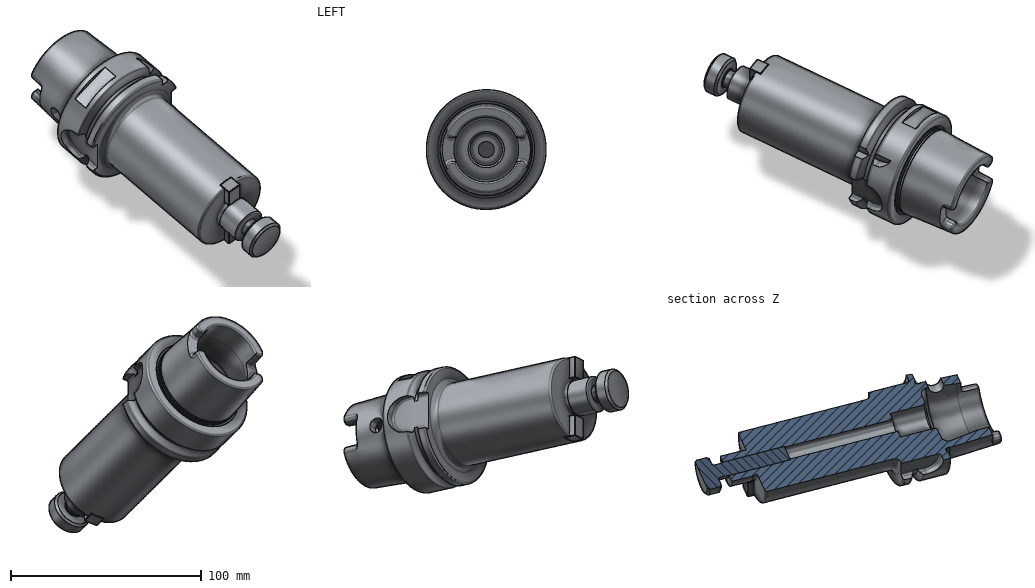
import cadquery as cq
import math


shank_length = 32.0
gauge_offset = 6.3
gauge_radius = 24.0
taper_slope = 1 / 20
shank_end_round = 1.0
relief_start = -1.8
relief_end = -0.5
relief_depth = 0.4

bore_radius = 34.0 / 2
bore_length = 12.3
chamber_radius = 39.0 / 2
clamp_length = 16.0
chamber_floor = 0.0
chamber_floor_round = 3.8
coolant_entry_radius = 19.0 / 2
coolant_radius = 17.0 / 2
coolant_depth = 20.0

drive_slot_width = 12.5
drive_slot_flare = 2.8
drive_slot_corner = 1.5
front_slot_bottom = -22.1
back_slot_bottom = -26.1

access_hole_diameter = 8.0
access_hole_x = -9.0

flange_radius = 63.0 / 2
flange_width = 26.0
flange_round = 1.0
face_recess_radius = 25.5
face_recess_depth = 0.5
groove_center = 18.0
groove_floor_radius = 55.0 / 2
groove_floor_width = 2.0
groove_wall_angle = 30.0
groove_edge_round = 0.5

keyway_floor = 26.5
keyway_center_x = 13.3
keyway_floor_round = 1.0
front_keyway_width = 20.0
back_keyway_width = 18.0

notch_corner = 20.1
notch_end_x = 12.9
notch_cutter_radius = 7.8

flat_start_x = 3.4
flat_width = 8.3
flat_length = 23.0
flat_angle = 21.7

body_radius = 44.4 / 2
body_end = 100.0
body_round = 1.0
neck_round = 3.0
pilot_radius = 19.0 / 2
pilot_end = 114.35
pilot_bevel_length = 1.2
pilot_bevel_depth = 0.3
undercut_radius = 18.55 / 2
undercut_width = 2.2
undercut_round = 0.25
thread_core_diameter = 8.38

screw_tip = 80.0
screw_radius = 9.53 / 2
screw_end = 128.0
head_radius = 22.0 / 2
head_length = 8.0
head_bevel = 1.2
collar_radius = 5.4
collar_length = 0.6

key_start = 96.5
key_length = 7.0
key_width = 8.0
key_inner = 10.4
key_outer = 22.05
key_bevel = 0.3

REACH = 2 * flange_radius
MARGIN = 0.1


def taper_radius(x):
    return gauge_radius + taper_slope * (x + gauge_offset)


def turn(profile):
    """Revolve a closed XY profile about the X axis."""
    return profile.close().revolve(360, (0, 0, 0), (1, 0, 0))


def cylinder_x(radius, start, end):
    return cq.Workplane("YZ", origin=(start, 0, 0)).circle(radius).extrude(end - start)


def block(x_range, y_range, z_range):
    spans = [high - low for low, high in (x_range, y_range, z_range)]
    corner = (x_range[0], y_range[0], z_range[0])
    return cq.Workplane("XY").box(*spans, centered=False).translate(corner)


def make_shank():
    relief_floor = taper_radius(relief_start) - relief_depth
    shank = turn(
        cq.Workplane("XY")
        .moveTo(-shank_length, 0)
        .lineTo(-shank_length, taper_radius(-shank_length))
        .lineTo(relief_start, taper_radius(relief_start))
        .lineTo(relief_start, relief_floor)
        .lineTo(relief_end, relief_floor)
        .lineTo(relief_end, taper_radius(relief_end))
        .lineTo(0, taper_radius(0))
        .lineTo(0, 0)
    )
    shank = shank.cut(make_bore())
    shank = shank.cut(make_drive_slot(front_slot_bottom, -1))
    shank = shank.cut(make_drive_slot(back_slot_bottom, 1))
    shank = shank.edges(drive_slot_rims()).fillet(drive_slot_flare)
    shank = shank.faces("<X").edges().fillet(shank_end_round)
    for bottom in (front_slot_bottom, back_slot_bottom):
        corners = cq.selectors.BoxSelector(
            (bottom - MARGIN, -REACH, -drive_slot_width),
            (bottom + MARGIN, REACH, drive_slot_width),
            boundingbox=True,
        )
        shank = shank.edges(corners).edges("|Y").fillet(drive_slot_corner)
    return shank


def make_flange():
    groove_depth = flange_radius - groove_floor_radius
    floor_half = groove_floor_width / 2
    top_half = floor_half + groove_depth * math.tan(math.radians(groove_wall_angle))
    flange = cylinder_x(flange_radius, 0, flange_width).edges().fillet(flange_round)
    groove = turn(
        cq.Workplane("XY")
        .moveTo(groove_center - top_half, flange_radius)
        .lineTo(groove_center - floor_half, groove_floor_radius)
        .lineTo(groove_center + floor_half, groove_floor_radius)
        .lineTo(groove_center + top_half, flange_radius)
    )
    flange = flange.cut(groove)
    face_recess = cylinder_x(face_recess_radius, 0, face_recess_depth)
    flange = flange.cut(face_recess.cut(cylinder_x(taper_radius(0), 0, face_recess_depth)))
    rim_band = cq.selectors.BoxSelector(
        (groove_center - top_half - groove_edge_round, -REACH, -REACH),
        (groove_center + top_half + groove_edge_round, REACH, REACH),
        boundingbox=True,
    )
    rims = cq.selectors.RadiusNthSelector(-1)
    return flange.edges(rim_band).edges(rims).fillet(groove_edge_round)


def make_body():
    arbor = turn(
        cq.Workplane("XY")
        .moveTo(flange_width, 0)
        .lineTo(flange_width, body_radius + neck_round)
        .radiusArc((flange_width + neck_round, body_radius), -neck_round)
        .lineTo(body_end, body_radius)
        .lineTo(body_end, 0)
    )
    arbor = arbor.faces(">X").edges().fillet(body_round)
    undercut = cylinder_x(undercut_radius, body_end, body_end + undercut_width)
    pilot = cylinder_x(pilot_radius, body_end + undercut_width, pilot_end)
    pilot = pilot.faces(">X").edges().chamfer(pilot_bevel_depth, pilot_bevel_length)
    undercut_edge = cq.selectors.BoxSelector(
        (body_end - undercut_round, -pilot_radius, -pilot_radius),
        (body_end + undercut_round, pilot_radius, pilot_radius),
        boundingbox=True,
    )
    arbor = arbor.union(undercut).edges(undercut_edge).fillet(undercut_round)
    return arbor.union(pilot)


def make_bore():
    bore_end = bore_length - shank_length
    return turn(
        cq.Workplane("XY")
        .moveTo(-shank_length, 0)
        .lineTo(-shank_length, bore_radius)
        .lineTo(bore_end, bore_radius)
        .lineTo(bore_end + clamp_length, chamber_radius)
        .lineTo(chamber_floor - chamber_floor_round, chamber_radius)
        .radiusArc((chamber_floor, chamber_radius - chamber_floor_round), chamber_floor_round)
        .lineTo(chamber_floor, 0)
    )


def make_coolant_recess():
    funnel = coolant_entry_radius - coolant_radius
    return turn(
        cq.Workplane("XY")
        .moveTo(chamber_floor, 0)
        .lineTo(chamber_floor, coolant_entry_radius)
        .lineTo(chamber_floor + funnel, coolant_radius)
        .lineTo(coolant_depth, coolant_radius)
        .lineTo(coolant_depth, 0)
    )


def make_drive_slot(bottom, side):
    """Cutter for the slot in the shank end on the given side of the axis."""
    half = drive_slot_width / 2
    slot = block((-shank_length, bottom), (0, REACH), (-half, half))
    if side < 0:
        slot = slot.mirror("XZ")
    return slot


def drive_slot_rims():
    """Selector for the long outer edges of the drive slots."""
    half = drive_slot_width / 2
    rims = []
    for y_sign in (1, -1):
        for z_sign in (1, -1):
            low = (-shank_length - MARGIN, y_sign * chamber_radius, z_sign * (half - MARGIN))
            high = (0, y_sign * REACH, z_sign * (half + MARGIN))
            rims.append(cq.selectors.BoxSelector(low, high, boundingbox=True))
    return rims[0] + rims[1] + rims[2] + rims[3]


def make_keyway(width, side):
    """Round-ended keyway cutter, open at the rear of the flange."""
    half = width / 2
    depth = REACH - keyway_floor
    keyway = (
        cq.Workplane("XZ", origin=(0, -keyway_floor, 0))
        .moveTo(keyway_center_x, half)
        .threePointArc((keyway_center_x - half, 0), (keyway_center_x, -half))
        .lineTo(REACH, -half)
        .lineTo(REACH, half)
        .close()
        .extrude(depth)
    )
    keyway = keyway.faces(">Y").edges().fillet(keyway_floor_round)
    if side > 0:
        keyway = keyway.mirror("XZ")
    return keyway


def make_index_notch():
    """Square notch whose floor runs out upward along a round cutter path."""
    axis_z = notch_corner + notch_cutter_radius
    run_out = (
        cq.Workplane("XZ", origin=(notch_end_x, notch_corner, axis_z))
        .circle(notch_cutter_radius)
        .extrude(-REACH)
    )
    straight = block((notch_end_x, flange_width), (notch_corner, REACH), (notch_corner, REACH))
    return straight.union(run_out)


def make_flat():
    distance = math.sqrt(flange_radius ** 2 - (flat_length / 2) ** 2)
    flat = block((flat_start_x, flat_start_x + flat_width), (-REACH, REACH), (distance, REACH))
    return flat.rotate((0, 0, 0), (1, 0, 0), flat_angle)


def make_key_block(outer_face, side):
    key = block(
        (key_start, key_start + key_length),
        (-key_width / 2, key_width / 2),
        (key_inner, outer_face),
    )
    if side < 0:
        key = key.mirror("XY")
    return key


def make_key(side):
    return make_key_block(key_outer, side).edges().chamfer(key_bevel)


def make_screw():
    head_start = screw_end - head_length
    head = cylinder_x(head_radius, head_start, screw_end).edges().chamfer(head_bevel)
    collar = cylinder_x(collar_radius, head_start - collar_length, head_start)
    shaft = cylinder_x(screw_radius, screw_tip, head_start)
    return shaft.union(collar).union(head)


def make_holder():
    holder = make_shank().union(make_flange()).union(make_body())
    holder = holder.cut(make_coolant_recess())
    access_hole = cq.Workplane("XZ").center(access_hole_x, 0).circle(access_hole_diameter / 2).extrude(REACH)
    holder = holder.cut(access_hole)
    flange_slots = [
        make_keyway(front_keyway_width, -1),
        make_keyway(back_keyway_width, 1),
        make_index_notch(),
        make_flat(),
    ]
    for slot in flange_slots:
        holder = holder.cut(slot)
    for side in (1, -1):
        holder = holder.cut(make_key_block(REACH, side))
    holder = holder.cut(cylinder_x(thread_core_diameter / 2, coolant_depth, screw_tip))
    return holder.cut(cylinder_x(screw_radius, screw_tip, pilot_end))


holder = make_holder()
keys = [make_key(side) for side in (1, -1)]
screw = make_screw()

result = cq.Compound.makeCompound([holder.val(), screw.val(), *[key.val() for key in keys]])